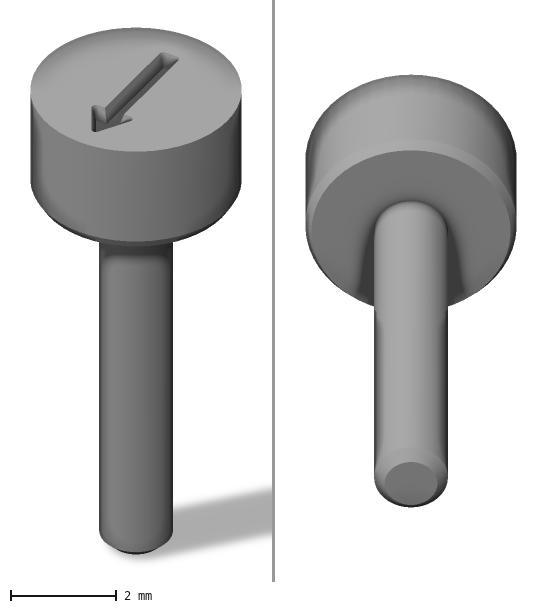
import cadquery as cq
import math

total_length = 10.5
head_diameter = 4.0
head_height = 2.3
pin_diameter = 1.4

chamfer_height = 0.2
head_chamfer_width = 0.12
tip_chamfer_width = chamfer_height

arrow_depth = 0.3
wall_spread = 0.08
shaft_half_width = 0.13
shaft_end_y = 1.23
shoulder_y = -0.88
barb_half_width = 0.36
tip_y = -1.49


def turned_body():
    """Head and pin as one revolved profile in the XZ plane."""
    head_radius = head_diameter / 2
    pin_radius = pin_diameter / 2
    head_bottom = total_length - head_height
    profile = [
        (0, 0),
        (pin_radius - tip_chamfer_width, 0),
        (pin_radius, chamfer_height),
        (pin_radius, head_bottom),
        (head_radius - head_chamfer_width, head_bottom),
        (head_radius, head_bottom + chamfer_height),
        (head_radius, total_length),
        (0, total_length),
    ]
    return cq.Workplane("XZ").polyline(profile).close().revolve(360, (0, 0, 0), (0, 1, 0))


def arrow_cutter():
    """Arrow that widens upward, with its outer corners rounding into cones."""
    right_side = [
        (shaft_half_width, shaft_end_y),
        (shaft_half_width, shoulder_y),
        (barb_half_width, shoulder_y),
    ]
    left_side = [(-x, y) for x, y in reversed(right_side)]
    wall_angle = math.degrees(math.atan2(wall_spread, arrow_depth))
    return (
        cq.Workplane("XY", origin=(0, 0, total_length - arrow_depth))
        .polyline(right_side + [(0, tip_y)] + left_side)
        .close()
        .extrude(arrow_depth, taper=-wall_angle)
    )


result = turned_body().cut(arrow_cutter())